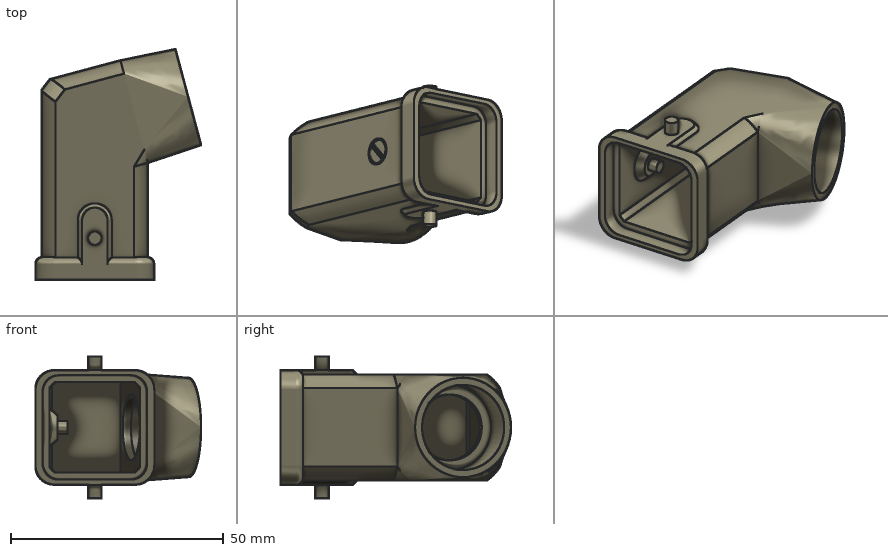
import math

import cadquery as cq


BODY_HALF = 12.5
BODY_ROUND = 3.25
BODY_ROUND_RADIUS = 11.6
REACH = 100.0

TILT = math.radians(15)
ELBOW_CORNER_Y = 27.52
OUTLET_LENGTH = 13.2
OUTLET_RADIUS = 11.7
CORNER_CUT_Y = 44.7
CORNER_CUT_ANGLE = 52.5
CORNER_CUT_RUN = 4.26
CORNER_CUT_DROP = 3.4

FLANGE_HALF_X = 14.0
FLANGE_HALF_Z = 13.5
FLANGE_RADIUS = 4.5
FLANGE_HEIGHT = 5.35
FLANGE_ROUND = 1.65

PAD_RADIUS = 4.0
PAD_CENTRE_Y = 14.0
PAD_TAPER = 45
PIN_DIAMETER = 3.2
PIN_Y = 9.8
PIN_HALF_SPAN = 16.7

RECESS_HALF = 12.3
RECESS_RADIUS = 3.9
RECESS_DEPTH = 3.65
CAVITY_HALF = 10.65
CAVITY_CHAMFER = 1.3
CAVITY_CUT_X = -10.04
END_WALL = 2.7
OUTLET_WALL_INSET = 0.7
OUTLET_WALL = 2.0
CABLE_HOLE_DIAMETER = 15.5
CABLE_BORE_DIAMETER = 20.0

SCREW_Y = 14.38
SCREW_SEAT_DIAMETER = 6.2
SCREW_HEAD_DIAMETER = 5.6
SCREW_SLOT_WIDTH = 0.8
SCREW_SLOT_DEPTH = 0.7
SCREW_SLOT_ANGLE = 45
BOSS_BASE_RADIUS = 4.55
BOSS_TIP_RADIUS = 2.9
BOSS_TIP_X = -8.8
STUD_DIAMETER = 3.0
STUD_TIP_X = -6.4

ALONG = cq.Vector(math.cos(TILT), math.sin(TILT), 0)
ACROSS = cq.Vector(-math.sin(TILT), math.cos(TILT), 0)
ELBOW_CORNER = cq.Vector(BODY_HALF, ELBOW_CORNER_Y, 0)
ELBOW_CENTRE = ELBOW_CORNER + ACROSS * BODY_HALF
ELBOW_TOP = ELBOW_CENTRE + ACROSS * BODY_HALF
BODY_FLAT = BODY_HALF - BODY_ROUND

HALF_CHORD = BODY_ROUND * math.sqrt(0.5)
ARC_HEIGHT = BODY_ROUND_RADIUS - math.sqrt(BODY_ROUND_RADIUS**2 - HALF_CHORD**2)
ARC_MIDDLE_DEPTH = BODY_ROUND / 2 - ARC_HEIGHT * math.sqrt(0.5)
ARC_CENTRE_DEPTH = ARC_MIDDLE_DEPTH + BODY_ROUND_RADIUS * math.sqrt(0.5)
ARC_MIDDLE = BODY_HALF - ARC_MIDDLE_DEPTH


def elbow_point(along, across, z):
    return ELBOW_CENTRE + ALONG * along + ACROSS * across + cq.Vector(0, 0, z)


def elbow_plane(along):
    return cq.Plane(origin=elbow_point(along, 0, 0), xDir=ACROSS, normal=ALONG)


def rounded_slab(point, outward_angle, run=BODY_ROUND, drop=BODY_ROUND):
    """Large block the height of the body with its face through the point.

    The two long edges of that face are arcs reaching "run" behind the face and "drop" below the
    top and bottom of the body.
    """
    side = BODY_HALF - drop
    bulge = ARC_HEIGHT / math.hypot(run, drop)
    arc_u = -run / 2 + bulge * drop
    arc_z = BODY_HALF - drop / 2 + bulge * run
    profile = (
        cq.Workplane("XZ")
        .moveTo(-REACH, -BODY_HALF)
        .lineTo(-run, -BODY_HALF)
        .threePointArc((arc_u, -arc_z), (0, -side))
        .lineTo(0, side)
        .threePointArc((arc_u, arc_z), (-run, BODY_HALF))
        .lineTo(-REACH, BODY_HALF)
        .close()
    )
    slab = profile.extrude(REACH, both=True)
    return slab.rotate((0, 0, 0), (0, 0, 1), outward_angle).translate(point)


def shell_solid(faces):
    return cq.Workplane(cq.Solid.makeSolid(cq.Shell.makeShell(faces)))


def polygon_face(*points):
    return cq.Face.makeFromWires(cq.Wire.makePolygon(points, close=True))


def make_body():
    tilt_angle = math.degrees(TILT)
    left = rounded_slab(cq.Vector(-BODY_HALF, 0, 0), 180)
    right = rounded_slab(cq.Vector(BODY_HALF, 0, 0), 0)
    top = rounded_slab(ELBOW_TOP, 90 + tilt_angle)
    underside = rounded_slab(ELBOW_CORNER, tilt_angle - 90)
    corner_cut = rounded_slab(
        cq.Vector(-BODY_HALF, CORNER_CUT_Y, 0),
        90 + CORNER_CUT_ANGLE,
        CORNER_CUT_RUN,
        CORNER_CUT_DROP,
    )
    inside_opening = cq.Workplane("XY").box(REACH, REACH, REACH, centered=(True, False, True))
    behind_outlet = cq.Workplane(elbow_plane(-REACH)).rect(REACH, REACH).extrude(REACH)

    end = left.intersect(top).intersect(corner_cut)
    column = end.intersect(right).intersect(inside_opening).intersect(behind_outlet)
    elbow = end.intersect(underside).intersect(behind_outlet)
    return column.union(elbow)


def make_gusset():
    """Fills the inner bend between the rounded edge of the column and that of the elbow (+Z side)."""
    slant_run = BODY_ROUND / math.cos(TILT)
    bend_along = (BODY_FLAT - elbow_point(0, -BODY_FLAT, 0).x) / math.cos(TILT)

    upper, upper_foot = (elbow_point(0, -BODY_FLAT, z) for z in (BODY_HALF, BODY_FLAT))
    bend, bend_foot = (elbow_point(bend_along, -BODY_FLAT, z) for z in (BODY_HALF, BODY_FLAT))
    lower, lower_foot = (elbow_point(-slant_run, -BODY_HALF, z) for z in (BODY_HALF, BODY_FLAT))
    tip = elbow_point(0, -BODY_HALF, BODY_FLAT)

    upper_arc = cq.Edge.makeThreePointArc(tip, elbow_point(0, -ARC_MIDDLE, ARC_MIDDLE), upper)
    tip_angle = math.degrees(math.acos(ARC_CENTRE_DEPTH / BODY_ROUND_RADIUS))
    lower_arc = cq.Edge.makeEllipse(
        BODY_ROUND_RADIUS / math.cos(TILT),
        BODY_ROUND_RADIUS,
        pnt=elbow_point(-ARC_CENTRE_DEPTH / math.cos(TILT), -BODY_HALF, BODY_HALF - ARC_CENTRE_DEPTH),
        dir=-ACROSS,
        xdir=ALONG,
        angle1=tip_angle,
        angle2=90 - tip_angle,
    )

    def sector(arc, start, foot):
        edges = [arc, cq.Edge.makeLine(start, foot), cq.Edge.makeLine(foot, tip)]
        return cq.Face.makeFromWires(cq.Wire.assembleEdges(edges))

    return shell_solid([
        cq.Face.makeRuledSurface(upper_arc, lower_arc),
        sector(upper_arc, upper, upper_foot),
        sector(lower_arc, lower, lower_foot),
        polygon_face(upper, upper_foot, bend_foot, bend),
        polygon_face(bend, bend_foot, lower_foot, lower),
        polygon_face(upper, bend, lower),
        polygon_face(upper_foot, bend_foot, lower_foot, tip),
    ])


def make_outlet():
    """Transition from the rounded square of the elbow to the round end of the outlet.

    Each side of the square narrows to a point on the end circle; ruled faces join the corners.
    """
    end_middle = OUTLET_RADIUS * math.sqrt(0.5)
    faces = []
    base_edges = []
    end_edges = []
    for quarter in range(4):
        cosine, sine = math.cos(quarter * math.pi / 2), math.sin(quarter * math.pi / 2)

        def turned(along, across, z):
            return elbow_point(along, across * cosine - z * sine, across * sine + z * cosine)

        side_start = turned(0, BODY_HALF, -BODY_FLAT)
        side_end = turned(0, BODY_HALF, BODY_FLAT)
        next_side_start = turned(0, BODY_FLAT, BODY_HALF)
        apex = turned(OUTLET_LENGTH, OUTLET_RADIUS, 0)
        next_apex = turned(OUTLET_LENGTH, 0, OUTLET_RADIUS)

        corner_arc = cq.Edge.makeThreePointArc(
            side_end, turned(0, ARC_MIDDLE, ARC_MIDDLE), next_side_start
        )
        end_arc = cq.Edge.makeThreePointArc(
            apex, turned(OUTLET_LENGTH, end_middle, end_middle), next_apex
        )
        faces.append(polygon_face(side_start, side_end, apex))
        faces.append(cq.Face.makeRuledSurface(corner_arc, end_arc))
        base_edges += [cq.Edge.makeLine(side_start, side_end), corner_arc]
        end_edges.append(end_arc)
    for edges in (base_edges, end_edges):
        faces.append(cq.Face.makeFromWires(cq.Wire.assembleEdges(edges)))
    return shell_solid(faces)


def rounded_prism(half_x, half_z, radius, length):
    """Rounded rectangle centred on the Y axis, running from Y = 0 to the given length."""
    prism = cq.Workplane("XZ").rect(2 * half_x, 2 * half_z).extrude(-length)
    return prism.edges("|Y").fillet(radius)


def make_flange():
    flange = rounded_prism(FLANGE_HALF_X, FLANGE_HALF_Z, FLANGE_RADIUS, FLANGE_HEIGHT)
    return flange.faces(">Y").edges().fillet(FLANGE_ROUND)


def make_pad():
    """Tongue with a round end and sloping sides on the +Z face."""
    return (
        cq.Workplane("XY", origin=(0, 0, BODY_HALF))
        .moveTo(-PAD_RADIUS, 0)
        .lineTo(-PAD_RADIUS, PAD_CENTRE_Y)
        .threePointArc((0, PAD_CENTRE_Y + PAD_RADIUS), (PAD_RADIUS, PAD_CENTRE_Y))
        .lineTo(PAD_RADIUS, 0)
        .close()
        .extrude(FLANGE_HALF_Z - BODY_HALF, taper=PAD_TAPER)
    )


def make_pin():
    pin = cq.Workplane("XY", origin=(0, PIN_Y, BODY_HALF)).circle(PIN_DIAMETER / 2)
    return pin.extrude(PIN_HALF_SPAN - BODY_HALF)


def make_cavity():
    """Chamfered tunnel that ends parallel to the slanted end of the hood and the outlet face."""
    end_corner = elbow_point(-OUTLET_WALL_INSET, BODY_HALF - END_WALL, 0)
    outlet_side_y = end_corner.y - (CAVITY_HALF - end_corner.x) / math.tan(TILT)
    cut_end_y = end_corner.y - (end_corner.x - CAVITY_CUT_X) * math.tan(TILT)
    cut_rise = (CAVITY_CUT_X + CAVITY_HALF) * math.tan(math.radians(CORNER_CUT_ANGLE))
    outline = [
        (-CAVITY_HALF, 0),
        (CAVITY_HALF, 0),
        (CAVITY_HALF, outlet_side_y),
        (end_corner.x, end_corner.y),
        (CAVITY_CUT_X, cut_end_y),
        (-CAVITY_HALF, cut_end_y - cut_rise),
    ]
    block = cq.Workplane("XY").polyline(outline).close().extrude(CAVITY_HALF, both=True)
    tunnel = cq.Workplane("XZ").rect(2 * CAVITY_HALF, 2 * CAVITY_HALF).extrude(-REACH)
    return block.intersect(tunnel.edges("|Y").chamfer(CAVITY_CHAMFER))


def make_cable_bore():
    hole = cq.Workplane(elbow_plane(-OUTLET_WALL_INSET)).circle(CABLE_HOLE_DIAMETER / 2)
    bore_start = OUTLET_WALL - OUTLET_WALL_INSET
    bore = cq.Workplane(elbow_plane(bore_start)).circle(CABLE_BORE_DIAMETER / 2)
    return hole.extrude(OUTLET_WALL).union(bore.extrude(OUTLET_LENGTH - bore_start))


def screw_plane(x):
    return cq.Workplane("YZ", origin=(x, SCREW_Y, 0))


def make_screw_boss():
    boss = (
        screw_plane(-CAVITY_HALF)
        .circle(BOSS_BASE_RADIUS)
        .workplane(offset=BOSS_TIP_X + CAVITY_HALF)
        .circle(BOSS_TIP_RADIUS)
        .loft()
    )
    stud = screw_plane(-CAVITY_HALF).circle(STUD_DIAMETER / 2).extrude(STUD_TIP_X + CAVITY_HALF)
    return boss.union(stud)


def make_screw_cuts():
    """Groove left between the conical seat and the flush screw head, and the driver slot."""
    seat = (
        screw_plane(-BODY_HALF)
        .circle(SCREW_SEAT_DIAMETER / 2)
        .workplane(offset=SCREW_SLOT_DEPTH)
        .circle(SCREW_SEAT_DIAMETER / 2 - SCREW_SLOT_DEPTH)
        .loft()
    )
    head = screw_plane(-BODY_HALF).circle(SCREW_HEAD_DIAMETER / 2).extrude(SCREW_SLOT_DEPTH)
    slot = (
        screw_plane(-BODY_HALF)
        .transformed(rotate=(0, 0, SCREW_SLOT_ANGLE))
        .rect(SCREW_SEAT_DIAMETER, SCREW_SLOT_WIDTH)
        .extrude(SCREW_SLOT_DEPTH)
    )
    return seat.cut(head).union(seat.intersect(slot))


hood = make_body().union(make_outlet()).union(make_flange())
for feature in (make_gusset(), make_pad(), make_pin()):
    hood = hood.union(feature).union(feature.mirror("XY"))

hood = hood.cut(make_cavity())
hood = hood.cut(rounded_prism(RECESS_HALF, RECESS_HALF, RECESS_RADIUS, RECESS_DEPTH))
hood = hood.cut(make_cable_bore())
hood = hood.union(make_screw_boss())
result = hood.cut(make_screw_cuts())